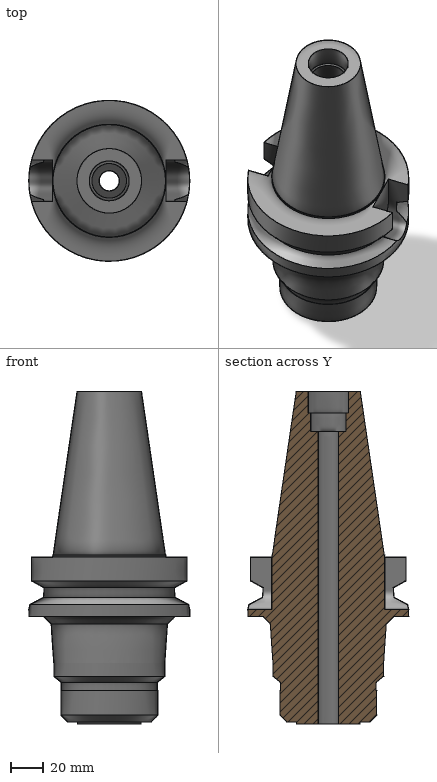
import cadquery as cq
import math

total_height = 206.8

taper_top_radius = 20.0
gauge_radius = 35.0
gauge_height = 105.0
root_radius = 35.2

flange_radius = 50.0
flange_top = 103.8
flange_bottom = 66.8
groove_radius = 42.5
groove_top_edge = 89.1
groove_bottom_edge = 74.5
groove_flank_angle = 30.0
groove_flank_height = (flange_radius - groove_radius) * math.tan(math.radians(groove_flank_angle))

collar_radius = 40.7
neck_radius = 36.2
neck_top = flange_bottom - (collar_radius - neck_radius)
body_radius = 34.5
body_top = 37.8
body_bottom = 29.8

nose_radius = 30.2
nose_top = 21.0
shoulder_radius = 30.0
shoulder_top = 26.0
nose_chamfer = 4.3
nose_face_height = 1.2
tip_radius = 19.9

slot_width = 25.6
slot_floor = 35.2
slot_bottom = 71.3

bore_radius = 12.5
bore_depth = 13.2
inner_bore_radius = 10.8
inner_bore_depth = 24.8
through_radius = 6.2


def turned_body():
    """Half section in XZ, revolved about the Z axis."""
    profile = (
        cq.Workplane("XZ")
        .moveTo(0, total_height)
        .lineTo(taper_top_radius, total_height)
        .lineTo(gauge_radius, gauge_height)
        .lineTo(root_radius, gauge_height)
        .lineTo(root_radius, flange_top)
        .lineTo(flange_radius, flange_top)
        .lineTo(flange_radius, groove_top_edge)
        .lineTo(groove_radius, groove_top_edge - groove_flank_height)
        .lineTo(groove_radius, groove_bottom_edge + groove_flank_height)
        .lineTo(flange_radius, groove_bottom_edge)
        .lineTo(flange_radius, flange_bottom)
        .lineTo(collar_radius, flange_bottom)
        .lineTo(neck_radius, neck_top)
        .lineTo(body_radius, body_top)
        .lineTo(body_radius, body_bottom)
        .lineTo(shoulder_radius, shoulder_top)
        .lineTo(shoulder_radius, nose_top)
        .lineTo(nose_radius, nose_top)
        .lineTo(nose_radius, nose_face_height + nose_chamfer)
        .lineTo(nose_radius - nose_chamfer, nose_face_height)
        .lineTo(tip_radius, nose_face_height)
        .lineTo(tip_radius, 0)
        .lineTo(0, 0)
        .close()
    )
    return profile.revolve(360, (0, 0, 0), (0, 1, 0))


def drive_slot(side):
    """Cutter for the slot on the +X (side = 1) or -X (side = -1) edge of the flange."""
    half_width = slot_width / 2
    arc_center = slot_bottom + half_width
    return (
        cq.Workplane("YZ", origin=(side * slot_floor, 0, 0))
        .moveTo(-half_width, flange_top)
        .lineTo(-half_width, arc_center)
        .threePointArc((0, slot_bottom), (half_width, arc_center))
        .lineTo(half_width, flange_top)
        .close()
        .extrude(side * flange_radius)
    )


def bore(radius, depth):
    """Cutter for a round hole sunk from the top of the taper."""
    return cq.Workplane("XY", origin=(0, 0, total_height)).circle(radius).extrude(-depth)


result = turned_body()
for side in (-1, 1):
    result = result.cut(drive_slot(side))

bore_steps = (
    (bore_radius, bore_depth),
    (inner_bore_radius, inner_bore_depth),
    (through_radius, total_height),
)
for radius, depth in bore_steps:
    result = result.cut(bore(radius, depth))